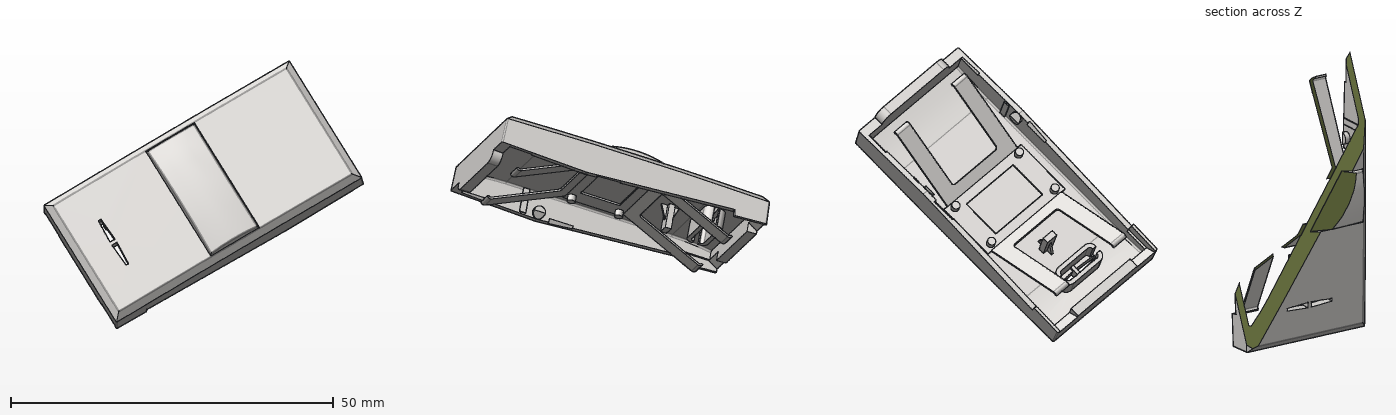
import cadquery as cq
import math


TILT_ABOUT_Y = 33.4
TILT_ABOUT_X = 20.0

WIDTH = 21.96
LENGTH_TOP = 44.3
LENGTH_RIM = 44.7
TOP_MID_Z = 3.40
TOP_BOW = 0.32
BEVEL = 1.05
EDGE_R = 0.2
HALF_IN_WIDTH = WIDTH / 2 - 0.9
HALF_IN_LENGTH = LENGTH_RIM / 2 - 1.6

PIVOT_Y = 8.0
RIM_PIVOT_Z = -2.66
RIM_BACK_Z = -2.08
RIM_FRONT_Z = -1.70
STEP_Y = -16.8
STEP_RUN = 0.15
STEP_LOW_Z = -2.0
STEP_HIGH_Z = -1.0

CEILING_Z = 1.8
CEILING_END_Z = 1.25
CEILING_FLAT_Y = 14.0
CEILING_R = 0.3
BELOW = -8.0

GRIP_HALF_Y = 4.4
GRIP_HALF_X = WIDTH / 2 - BEVEL - 0.1
GRIP_FLOOR_Z = 2.5
GRIP_PEAK_Z = 4.9
GRIP_CROWN_R = 70.0
GRIP_BULGE_R = 16.0
GRIP_TAPER = 10.0
GRIP_EDGE_R = 0.2

PIN_X = 7.0
PIN_Y = 4.0
PIN_R = 0.65
PIN_END_Z = 0.5

SHEET = 0.3
PLATE_HALF_X = 8.5
PLATE_HALF_Y = 4.95
WINDOW_HALF_X = 5.15
WINDOW_HALF_Y = 3.3
LEG_SLOPE = 24.6
LEG_OUTER_X = 7.7
LEG_INNER_X = 4.9
LEG_ROOT = 2.0
LEG_LENGTH = 13.85
CURL_R = 0.6
LEG_NOTCH_R = 0.5

SLOT_Y = -16.1
SLOT_INNER_X = 0.3
SLOT_OUTER_X = 4.15
SLOT_INNER_HALF = 0.45
SLOT_OUTER_HALF = 0.22
COLLAR_LENGTH = 8.2
COLLAR_WIDTH = 3.5
COLLAR_R = 1.2
COLLAR_WALL = 0.7
COLLAR_END_Z = -1.3
BRIDGE_END_Z = 1.36


def box(x0, x1, y0, y1, z0, z1):
    return cq.Workplane("XY").box(x1 - x0, y1 - y0, z1 - z0, centered=False).translate((x0, y0, z0))


def across(profile, x0, x1):
    """Extrude a closed (y, z) profile along X from x0 to x1."""
    return profile.extrude(x1 - x0).translate((x0, 0, 0))


def both_sides(shape):
    return shape.union(shape.mirror("YZ"))


def pins(radius, z0, z1):
    spots = [(sx * PIN_X, sy * PIN_Y) for sx in (-1, 1) for sy in (-1, 1)]
    return cq.Workplane("XY").workplane(offset=z0).pushPoints(spots).circle(radius).extrude(z1 - z0)


def shell():
    half_top = LENGTH_TOP / 2
    half_rim = LENGTH_RIM / 2
    top_end_z = TOP_MID_Z - TOP_BOW
    side = (
        cq.Workplane("YZ")
        .moveTo(-half_rim, RIM_FRONT_Z)
        .lineTo(STEP_Y - STEP_RUN, STEP_LOW_Z)
        .lineTo(STEP_Y, STEP_HIGH_Z)
        .lineTo(PIVOT_Y, RIM_PIVOT_Z)
        .lineTo(half_rim, RIM_BACK_Z)
        .lineTo(half_top, top_end_z)
        .threePointArc((0, TOP_MID_Z), (-half_top, top_end_z))
        .close()
    )
    body = across(side, -WIDTH / 2, WIDTH / 2)
    body = body.faces(">Z").edges().chamfer(BEVEL)
    body = body.faces(">Z").edges().fillet(EDGE_R)
    upright = cq.selectors.BoxSelector(
        (-WIDTH, -LENGTH_RIM, STEP_HIGH_Z / 2), (WIDTH, LENGTH_RIM, -STEP_HIGH_Z))
    return body.edges(upright).fillet(EDGE_R)


def cavity():
    sag_mid_y = (CEILING_FLAT_Y + HALF_IN_LENGTH) / 2
    drop = CEILING_Z - CEILING_END_Z
    sag_mid_z = CEILING_Z - drop / 4
    room = (
        cq.Workplane("YZ")
        .moveTo(-HALF_IN_LENGTH, BELOW)
        .lineTo(-HALF_IN_LENGTH, CEILING_END_Z)
        .threePointArc((-sag_mid_y, sag_mid_z), (-CEILING_FLAT_Y, CEILING_Z))
        .lineTo(CEILING_FLAT_Y, CEILING_Z)
        .threePointArc((sag_mid_y, sag_mid_z), (HALF_IN_LENGTH, CEILING_END_Z))
        .lineTo(HALF_IN_LENGTH, BELOW)
        .close()
    )
    room = across(room, -HALF_IN_WIDTH, HALF_IN_WIDTH)
    top_side_edges = cq.selectors.BoxSelector(
        (-WIDTH, -LENGTH_RIM, CEILING_END_Z - 1), (WIDTH, LENGTH_RIM, CEILING_Z + 1))
    return room.edges(top_side_edges).edges("not |X").fillet(CEILING_R)


TONGUE_HALF_X = 7.4
TONGUE_END_Z = -3.8
TONGUE_R = 1.6


def back_face_y(z):
    """Y of the slightly drafted back wall at height z."""
    draft = (LENGTH_RIM - LENGTH_TOP) / 2 / (TOP_MID_Z - TOP_BOW - RIM_BACK_Z)
    return LENGTH_RIM / 2 - draft * (z - RIM_BACK_Z)


def tongue():
    """Rounded tab that lengthens the back wall downward, flush with its drafted face."""
    side = cq.Workplane("YZ").polyline([
        (HALF_IN_LENGTH, 0),
        (back_face_y(0), 0),
        (back_face_y(TONGUE_END_Z), TONGUE_END_Z),
        (HALF_IN_LENGTH, TONGUE_END_Z),
    ]).close()
    outline = box(-TONGUE_HALF_X, TONGUE_HALF_X, 0, LENGTH_RIM, TONGUE_END_Z, 0)
    outline = outline.edges("|Y and <Z").fillet(TONGUE_R)
    return across(side, -TONGUE_HALF_X, TONGUE_HALF_X).intersect(outline)


POCKET_X0 = 6.5
POCKET_X1 = WIDTH / 2 - 0.5
POCKET_INNER_Z = -0.25
POCKET_OUTER_Z = -1.25


def front_pocket():
    """Relief in a front corner, sloping down through the front wall."""
    outside_y = -LENGTH_RIM / 2 - 0.05
    side = cq.Workplane("YZ").polyline([
        (STEP_Y, POCKET_INNER_Z),
        (-HALF_IN_LENGTH, POCKET_INNER_Z),
        (outside_y, POCKET_OUTER_Z),
        (outside_y, BELOW),
        (STEP_Y, BELOW),
    ]).close()
    return both_sides(across(side, POCKET_X0, POCKET_X1))


RELIEF_SPANS = [(2.0, 6.0), (17.0, HALF_IN_LENGTH)]
RELIEF_TOP_Z = -1.88
RELIEF_WIDTH = 0.5
RELIEF_HEIGHT = 0.7


def rim_reliefs():
    """Lead-in bevels on the inner rim of the long walls."""
    cuts = cq.Workplane("XY")
    for y0, y1 in RELIEF_SPANS:
        wedge = (
            cq.Workplane("XZ", origin=(0, y1, 0))
            .moveTo(HALF_IN_WIDTH, RELIEF_TOP_Z)
            .lineTo(HALF_IN_WIDTH + RELIEF_WIDTH, RELIEF_TOP_Z - RELIEF_HEIGHT)
            .lineTo(HALF_IN_WIDTH + RELIEF_WIDTH, BELOW)
            .lineTo(HALF_IN_WIDTH, BELOW)
            .close()
            .extrude(y1 - y0)
        )
        cuts = cuts.add(wedge)
    return both_sides(cuts.combine())


PEG_R = 0.95
PEG_Z = -1.65
PEG_REACH = 0.84


def pivot_pegs():
    """Round pegs on the long walls; the lower half is a ramp for snapping in."""
    peg = (
        cq.Workplane("YZ", origin=(HALF_IN_WIDTH - PEG_REACH, 0, 0))
        .center(PIVOT_Y, PEG_Z)
        .circle(PEG_R)
        .extrude(PEG_REACH)
    )
    ramp = (
        cq.Workplane("XZ", origin=(0, PIVOT_Y + PEG_R, 0))
        .moveTo(HALF_IN_WIDTH - PEG_REACH, PEG_Z)
        .lineTo(HALF_IN_WIDTH, PEG_Z - PEG_R)
        .lineTo(HALF_IN_WIDTH - PEG_REACH, PEG_Z - PEG_R)
        .close()
        .extrude(2 * PEG_R)
    )
    return both_sides(peg.cut(ramp))


WALL_RIB = (10.0, 11.05)
WALL_RIB_REACH = 0.2
WALL_RIB_END_Z = -2.3


def wall_ribs():
    rib = box(HALF_IN_WIDTH - WALL_RIB_REACH, HALF_IN_WIDTH, *WALL_RIB, WALL_RIB_END_Z, CEILING_Z)
    return both_sides(rib)


POST_Y = -10.0
POST_X0 = -0.3
POST_X1 = 1.7
POST_HALF_Y = 0.5
POST_END_Z = -2.3
FIN_X0 = 0.5
FIN_X1 = 0.9
FIN_HALF_Y = 1.5
FIN_END_Z = -0.6


def post():
    """Actuating post with a tapered fin on either side."""
    stem = box(POST_X0, POST_X1, POST_Y - POST_HALF_Y, POST_Y + POST_HALF_Y, POST_END_Z, CEILING_Z)
    fin = cq.Workplane("YZ").polyline([
        (POST_Y - FIN_HALF_Y, CEILING_Z),
        (POST_Y - POST_HALF_Y, FIN_END_Z),
        (POST_Y + POST_HALF_Y, FIN_END_Z),
        (POST_Y + FIN_HALF_Y, CEILING_Z),
    ]).close()
    return stem.union(across(fin, FIN_X0, FIN_X1))


def collar():
    """Rounded wall around the indicator slots, with a bridge between the two."""
    top_z = CEILING_Z + 0.2
    outer = box(-COLLAR_LENGTH / 2, COLLAR_LENGTH / 2, SLOT_Y - COLLAR_WIDTH / 2, SLOT_Y + COLLAR_WIDTH / 2,
                COLLAR_END_Z, top_z).edges("|Z").fillet(COLLAR_R)
    inner = outer.faces("<Z").wires().toPending().workplane().offset2D(-COLLAR_WALL).extrude(
        -(top_z - COLLAR_END_Z), combine=False)
    gaps = box(-COLLAR_LENGTH, COLLAR_LENGTH, SLOT_Y - SLOT_INNER_HALF, SLOT_Y + SLOT_INNER_HALF,
               COLLAR_END_Z, CEILING_Z)
    bridge = box(-SLOT_INNER_X, SLOT_INNER_X, SLOT_Y - COLLAR_WIDTH / 2, SLOT_Y + COLLAR_WIDTH / 2,
                 BRIDGE_END_Z, top_z)
    return outer.cut(inner).cut(gaps).union(bridge)


def indicator_slots():
    slot = (
        cq.Workplane("XY")
        .polyline([
            (SLOT_INNER_X, SLOT_Y - SLOT_INNER_HALF),
            (SLOT_OUTER_X, SLOT_Y - SLOT_OUTER_HALF),
            (SLOT_OUTER_X, SLOT_Y + SLOT_OUTER_HALF),
            (SLOT_INNER_X, SLOT_Y + SLOT_INNER_HALF),
        ])
        .close()
        .extrude(TOP_MID_Z)
    )
    return both_sides(slot)


def grip_recess():
    return box(-GRIP_HALF_X, GRIP_HALF_X, -GRIP_HALF_Y, GRIP_HALF_Y, GRIP_FLOOR_Z, GRIP_PEAK_Z)


cover = (
    shell()
    .union(tongue())
    .cut(cavity())
    .cut(front_pocket())
    .cut(rim_reliefs())
    .union(pivot_pegs())
    .union(wall_ribs())
    .union(post())
    .union(collar())
    .cut(indicator_slots())
    .cut(grip_recess())
    .cut(pins(PIN_R, PIN_END_Z, GRIP_FLOOR_Z))
)


def make_grip():
    block = (
        cq.Workplane("XY", origin=(0, 0, GRIP_FLOOR_Z))
        .rect(2 * GRIP_HALF_X, 2 * GRIP_HALF_Y)
        .extrude(GRIP_PEAK_Z - GRIP_FLOOR_Z, taper=GRIP_TAPER)
    )
    lens_half = 2 * GRIP_HALF_Y
    lens_drop = GRIP_BULGE_R - math.sqrt(GRIP_BULGE_R ** 2 - lens_half ** 2)
    axis_z = GRIP_PEAK_Z - GRIP_CROWN_R
    swing = 30
    dome = (
        cq.Workplane("YZ", origin=(0, 0, axis_z))
        .moveTo(-lens_half, GRIP_CROWN_R / 2)
        .lineTo(-lens_half, GRIP_CROWN_R - lens_drop)
        .threePointArc((0, GRIP_CROWN_R), (lens_half, GRIP_CROWN_R - lens_drop))
        .lineTo(lens_half, GRIP_CROWN_R / 2)
        .close()
        .revolve(swing, (0, 0, 0), (1, 0, 0))
        .rotate((0, 0, axis_z), (0, 1, axis_z), -swing / 2)
    )
    body = block.intersect(dome)
    body = body.faces(">Z").edges().fillet(GRIP_EDGE_R)
    return body.union(pins(PIN_R, PIN_END_Z, GRIP_FLOOR_Z))


grip = make_grip()


def spring_legs():
    """Full-width strip that parts into two legs with curled tips, bent down from the plate."""
    inner_r = CURL_R - SHEET
    bend = math.sqrt(0.5)
    side = (
        cq.Workplane("YZ")
        .moveTo(0, 0)
        .lineTo(0, -SHEET)
        .lineTo(LEG_LENGTH, -SHEET)
        .threePointArc(
            (LEG_LENGTH + CURL_R * bend, inner_r - CURL_R * bend),
            (LEG_LENGTH + CURL_R, inner_r))
        .lineTo(LEG_LENGTH + inner_r, inner_r)
        .threePointArc(
            (LEG_LENGTH + inner_r * bend, inner_r - inner_r * bend),
            (LEG_LENGTH, 0))
        .close()
    )
    sheet = across(side, -LEG_OUTER_X, LEG_OUTER_X)
    notch = box(-LEG_INNER_X, LEG_INNER_X, LEG_ROOT, 2 * LEG_LENGTH, -1, 1)
    notch = notch.edges("|Z and <Y").fillet(LEG_NOTCH_R)
    legs = sheet.cut(notch).rotate((0, 0, 0), (1, 0, 0), -LEG_SLOPE)
    return legs.translate((0, PLATE_HALF_Y, CEILING_Z))


def make_spring():
    plate = box(-PLATE_HALF_X, PLATE_HALF_X, -PLATE_HALF_Y, PLATE_HALF_Y, CEILING_Z - SHEET, CEILING_Z)
    window = box(-WINDOW_HALF_X, WINDOW_HALF_X, -WINDOW_HALF_Y, WINDOW_HALF_Y, BELOW, CEILING_Z)
    legs = spring_legs()
    body = plate.cut(window).union(legs).union(legs.mirror("XZ"))
    return body.cut(pins(PIN_R, PIN_END_Z, CEILING_Z))


spring = make_spring()


def tilted(body):
    turned = body.rotate((0, 0, 0), (0, 1, 0), TILT_ABOUT_Y)
    return turned.rotate((0, 0, 0), (1, 0, 0), TILT_ABOUT_X)


result = cq.Compound.makeCompound([tilted(body).val() for body in (cover, grip, spring)])